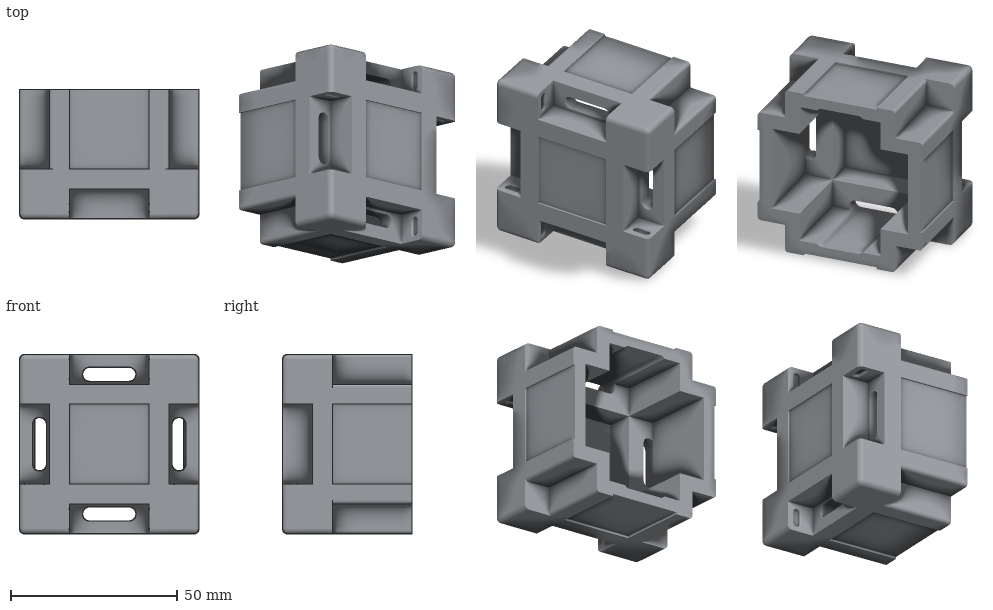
import cadquery as cq

size = 54.0
panel = 24.0
notch = 9.0
panel_recess = 0.65
inner_wall = 4.0

front_fillet = 1.6
rear_fillet = 1.0

slot_length = 16.0
slot_width = 4.2
slot_offset = 21.0

catch_width = 2.08
catch_rounding = 0.5
catch_spacing = 3.5
catch_depth = 1.0
catch_y = 3.35

half = size / 2
front_depth = (size - panel) / 2
depth = front_depth + panel
arm_width = size - 2 * notch
shell = panel_recess + inner_wall
cavity_long = size - 2 * shell
cavity_short = arm_width - 2 * shell
quarter_turns = (0, 90, 180, 270)


def block(width, y_start, y_end, height, z_center=0.0):
    """Box centred on X, spanning y_start to y_end."""
    length = y_end - y_start
    return cq.Workplane("XY").box(width, length, height).translate((0, y_start + length / 2, z_center))


def turned(shape, angle):
    """Copy of a shape turned about the part's Y axis."""
    return shape.rotate((0, 0, 0), (0, 1, 0), angle)


def make_body():
    """Front block with rounded edges, joined to a cross-shaped rear section."""
    front = block(size, 0, front_depth, size)
    front = front.edges("|Y or <Y").fillet(front_fillet)
    wide_arm = block(size, front_depth, depth, arm_width).edges("|Y").fillet(rear_fillet)
    tall_arm = block(arm_width, front_depth, depth, size).edges("|Y").fillet(rear_fillet)
    return front.union(wide_arm).union(tall_arm)


def make_cavity():
    """Inside space: a square bay in front of a cross, both one shell thickness from the outside."""
    bay = block(cavity_short, shell, depth, cavity_short)
    cross_start = notch + shell
    wide_arm = block(cavity_long, cross_start, depth, cavity_short)
    tall_arm = block(cavity_short, cross_start, depth, cavity_long)
    return bay.union(wide_arm).union(tall_arm)


def make_slot(y_end):
    """Long slot above the axis, running back from the pocket floor."""
    return (
        cq.Workplane("XZ", origin=(0, notch, slot_offset))
        .slot2D(slot_length, slot_width)
        .extrude(notch - y_end)
    )


def make_catch():
    """Recess with a rounded mouth, sunk into the +X end wall of the upper pocket."""
    wall_x = panel / 2
    catch_z = half - notch / 2
    end_wall = cq.Workplane("YZ", origin=(wall_x, 0, catch_z))
    plate = end_wall.center(notch / 2, 0).rect(notch, notch).extrude(-catch_rounding)
    catch_center = end_wall.center(catch_y, 0)
    pin = catch_center.slot2D(catch_spacing + catch_width, catch_width, 90).extrude(catch_depth)
    root_x = catch_rounding / 2
    root_z = (catch_spacing + catch_width) / 2
    mouth_edges = cq.selectors.BoxSelector(
        (wall_x - root_x, catch_y - catch_width, catch_z - root_z),
        (wall_x + root_x, catch_y + catch_width, catch_z + root_z),
    )
    return plate.union(pin).edges(mouth_edges).fillet(catch_rounding)


def make_side(slot_end):
    """Everything removed on the +Z side: edge pocket, face panel, slot and both catches."""
    pocket = block(panel, 0, notch, notch, half - notch / 2)
    face_panel = block(panel, front_depth, depth, panel_recess, half - panel_recess / 2)
    catch = make_catch()
    cutter = pocket.union(face_panel).union(make_slot(slot_end))
    return cutter.union(catch).union(catch.mirror("YZ"))


result = make_body().cut(make_cavity())
result = result.cut(block(panel, 0, panel_recess, panel))
for angle in quarter_turns:
    slot_end = depth if angle % 180 == 0 else notch + shell
    result = result.cut(turned(make_side(slot_end), angle))